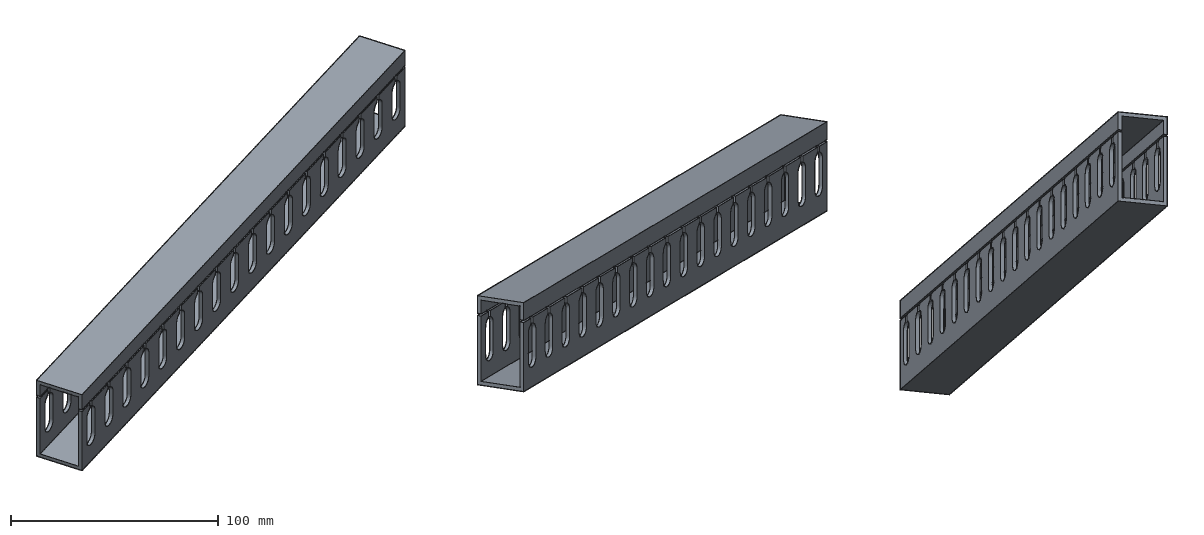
import cadquery as cq

duct_width = 25.0
duct_length = 324.0
duct_height = 45.0
wall = 2.0

cover_height = 9.0
cover_gap = 1.0
base_height = duct_height - cover_height - cover_gap

slot_pitch = 18.0
slot_count = round(duct_length / slot_pitch)
slot_width = 8.0
slot_bottom = 10.0
slot_top = 32.0
slot_height = slot_top - slot_bottom
neck_width = 2.0


def channel(height):
    """U-shaped channel along Y, open upward, standing on Z = 0 and centred in X and Y."""
    block = cq.Workplane("XY").box(duct_width, duct_length, height, centered=(True, True, False))
    cavity = (
        cq.Workplane("XY")
        .box(duct_width - 2 * wall, duct_length, height - wall, centered=(True, True, False))
        .translate((0, 0, wall))
    )
    return block.cut(cavity)


def slot_cutter(y):
    """Round-ended vertical slot with its neck, spanning both side walls at the given Y."""
    slot_middle = (slot_bottom + slot_top) / 2
    slot = (
        cq.Workplane("YZ")
        .center(y, slot_middle)
        .slot2D(slot_height, slot_width, 90)
        .extrude(duct_width / 2, both=True)
    )
    neck_length = base_height - slot_middle
    neck = (
        cq.Workplane("XY")
        .box(duct_width, neck_width, neck_length, centered=(True, True, False))
        .translate((0, y, slot_middle))
    )
    return slot.union(neck)


def make_base():
    base = channel(base_height)
    first_slot = -slot_pitch * (slot_count - 1) / 2
    for index in range(slot_count):
        base = base.cut(slot_cutter(first_slot + index * slot_pitch))
    return base


def make_cover():
    """Channel turned upside down so that its web closes the top of the duct."""
    return channel(cover_height).rotate((0, 0, 0), (0, 1, 0), 180).translate((0, 0, duct_height))


base = make_base()
cover = make_cover()

result = cq.Compound.makeCompound([base.val(), cover.val()])